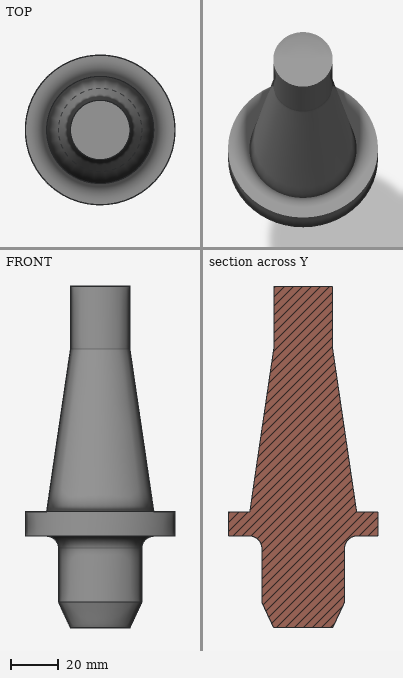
import cadquery as cq

total_height = 143.4
lead_in_height = 10.8
flange_bottom = 38.5
flange_thickness = 10.3
flange_top = flange_bottom + flange_thickness
top_pin_height = 26.4
taper_top = total_height - top_pin_height

tip_radius = 25.0 / 2
shank_radius = 35.0 / 2
flange_radius = 63.0 / 2
taper_base_radius = 45.0 / 2
top_pin_radius = 25.0 / 2

neck_fillet = 5.0

profile = (
    cq.Workplane("XZ")
    .lineTo(tip_radius, 0)
    .lineTo(shank_radius, lead_in_height)
    .lineTo(shank_radius, flange_bottom - neck_fillet)
    .radiusArc((shank_radius + neck_fillet, flange_bottom), neck_fillet)
    .lineTo(flange_radius, flange_bottom)
    .lineTo(flange_radius, flange_top)
    .lineTo(taper_base_radius, flange_top)
    .lineTo(top_pin_radius, taper_top)
    .lineTo(top_pin_radius, total_height)
    .lineTo(0, total_height)
    .close()
)

result = profile.revolve(360, (0, 0, 0), (0, 1, 0))